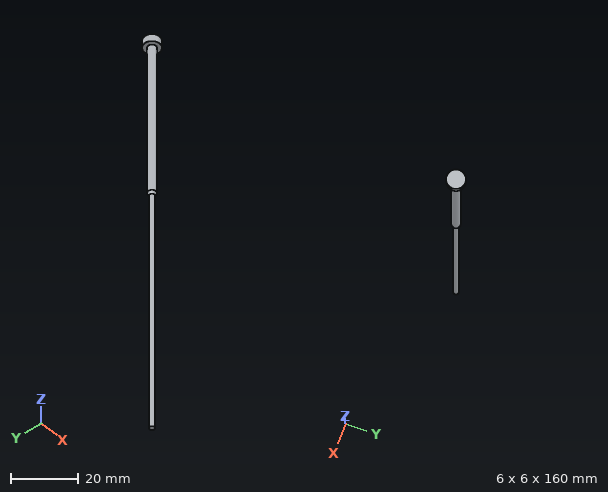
import cadquery as cq
import math

overall_length = 160.0
head_diameter = 6.0
head_height = 3.0
shank_diameter = 3.0
shank_length = 60.0
pin_diameter = 1.8
taper_half_angle = 30.0

head_radius = head_diameter / 2
shank_radius = shank_diameter / 2
pin_radius = pin_diameter / 2

taper_height = (shank_radius - pin_radius) / math.tan(math.radians(taper_half_angle))
head_top_z = overall_length
head_bottom_z = head_top_z - head_height
shank_end_z = head_bottom_z - shank_length
taper_end_z = shank_end_z - taper_height


def stepped_pin():
    """Revolve the half profile, drawn on the -X side, around the Z axis."""
    half_profile = (
        cq.Workplane("XZ")
        .moveTo(0, 0)
        .lineTo(-pin_radius, 0)
        .lineTo(-pin_radius, taper_end_z)
        .lineTo(-shank_radius, shank_end_z)
        .lineTo(-shank_radius, head_bottom_z)
        .lineTo(-head_radius, head_bottom_z)
        .lineTo(-head_radius, head_top_z)
        .lineTo(0, head_top_z)
        .close()
    )
    return half_profile.revolve(360, (0, 0, 0), (0, 1, 0))


result = stepped_pin()